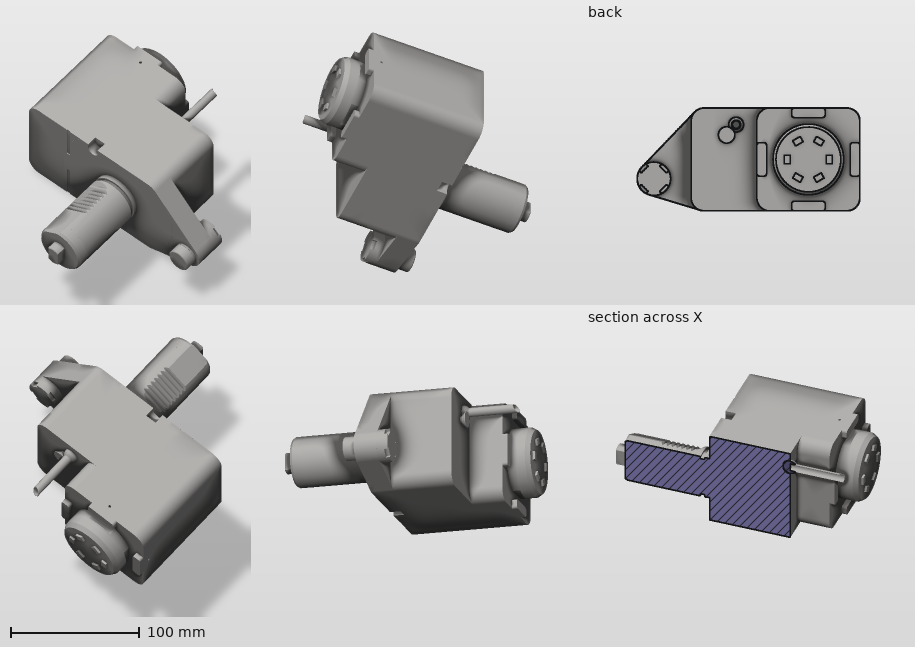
import cadquery as cq
import math


HALF_HEIGHT = 40.0
LEFT_X = -90.0
RIGHT_X = 41.0
CORNER_R = 10.0
LOW_BACK_Y = 67.0
TOWER_RIGHT_X = -10.0
TOWER_BACK_Y = 93.5

CONTACT_D = 110.0
CONTACT_RAISE = 0.1
SPINDLE_X = -50.0
KEY_GROOVE_W = 3.0
KEY_GROOVE_DEPTH = 0.5
KEY_GROOVE_INNER_Z = 10.0
EDGE_RECESS_W = 9.5
EDGE_RECESS_X = -25.0
EDGE_RECESS_DEPTH = 8.5
EDGE_RECESS_FLOOR_Z = 31.0
SMALL_HOLE_D = 2.2
SMALL_HOLE_DEPTH = 3.0
SMALL_HOLE_Y = 87.0

LUG_X = 70.0
LUG_Z = -15.0
LUG_R = 13.0
LUG_THICKNESS = 18.0
SCREW_SHAFT_D = 19.0
SCREW_END_D = 18.7
SCREW_STEP_Y = -1.5
SCREW_TIP_Y = -10.2
SCREW_TIP_CHAMFER = 0.6
SCREW_HEAD_D = 26.0
SCREW_HEAD_TOP_Y = 27.3
NOTCH_COUNT = 4
NOTCH_W = 7.5
NOTCH_DEPTH = 3.0
NOTCH_INNER_R = 10.1

TAB_LENGTH = 26.0
TAB_WIDTH = 7.5
TAB_HEIGHT = 4.2
TAB_CORNER_R = 2.0

NOSE_R = 27.5
NOSE_FACE_R = 25.2
NOSE_CHAMFER_Y = 108.0
NOSE_FACE_Y = 111.8
NOSE_FLAT_DISTANCE = 25.2
NOSE_FLAT_TOP_Y = 99.6
NOSE_FLAT_ANGLES = (90, 180, 270)
DOG_COUNT = 6
DOG_CIRCLE_R = 16.3
DOG_RADIAL = 4.6
DOG_TANGENTIAL = 6.7
DOG_TOP_Y = 113.61

SHANK_R = 20.0
SHANK_RELIEF_R = 19.8
SHANK_COLLAR_Y = -2.0
GROOVE_R = 18.0
GROOVE_START_Y = -4.0
GROOVE_END_Y = -7.3
SHANK_PILOT_Y = -60.3
SHANK_PILOT_R = 19.95
SHANK_END_Y = -70.0
SHANK_CHAMFER_LENGTH = 2.0
SHANK_CHAMFER_DEPTH = 1.4
TANG_R = 8.3
TANG_W = 10.0
TANG_END_Y = -78.0
TANG_CHAMFER = 0.5

SERRATION_TILT = 30.0
FLAT_DISTANCE = 17.4
TOOTH_PITCH = 4.0
TOOTH_DEPTH = 2.0
TOOTH_COUNT = 7
FIRST_VALLEY_Y = -16.0
FLAT_START_Y = -12.2
RUNOUT_Y = -9.0

NOZZLE_X = 6.1
NOZZLE_Z = 27.0
BALL_D = 11.57
TUBE_D = 7.0
BORE_D = 6.0
TUBE_END_Y = 111.0
TUBE_BEVEL_SLOPE_X = 0.43
TUBE_BEVEL_SLOPE_Z = 0.45
CSK_X = 13.5
CSK_Z = 19.0
CSK_NECK_R = 3.0
CSK_HEAD_R = 12.73 / 2
CSK_NECK_LENGTH = 1.0
CSK_RIM = 0.4


def cylinder(x, z, radius, y_start, y_end):
    """Cylinder along Y between two Y positions."""
    return cq.Workplane(
        cq.Solid.makeCylinder(
            radius, y_end - y_start, cq.Vector(x, y_start, z), cq.Vector(0, 1, 0)
        )
    )


def block(x_range, y_range, z_range):
    """Box spanning the given ranges along the three axes."""
    sizes = [high - low for low, high in (x_range, y_range, z_range)]
    corner = (x_range[0], y_range[0], z_range[0])
    return cq.Workplane("XY").box(*sizes, centered=False).translate(corner)


def turned(profile):
    """Revolve a closed (radius, y) profile about the Y axis."""
    return cq.Workplane("XY").polyline(profile).close().revolve(360, (0, 0, 0), (0, 1, 0))


def about_y(shape, angle, x=0.0, z=0.0):
    """Turn a shape about a Y-parallel axis, counting from +X towards +Z."""
    return shape.rotate((x, 0, z), (x, 1, z), -angle)


def rounded_block(right_x, back_y):
    width = right_x - LEFT_X
    return (
        block((LEFT_X, right_x), (0, back_y), (-HALF_HEIGHT, HALF_HEIGHT))
        .edges("|Y")
        .fillet(CORNER_R)
    )


def outer_tangent(x1, z1, r1, x2, z2, r2, side):
    """Touching points of the common tangent that lies on the given side (+1 above, -1 below)."""
    distance = math.hypot(x2 - x1, z2 - z1)
    heading = math.atan2(z2 - z1, x2 - x1)
    normal = heading + side * math.acos((r1 - r2) / distance)
    nx = math.cos(normal)
    nz = math.sin(normal)
    return (x1 + r1 * nx, z1 + r1 * nz), (x2 + r2 * nx, z2 + r2 * nz)


def clamping_lug():
    """Plate whose edges run from the block's two right corner rounds to the lug's round end."""
    corner_x = RIGHT_X - CORNER_R
    corner_z = HALF_HEIGHT - CORNER_R
    top_start, top_end = outer_tangent(corner_x, corner_z, CORNER_R, LUG_X, LUG_Z, LUG_R, 1)
    low_start, low_end = outer_tangent(corner_x, -corner_z, CORNER_R, LUG_X, LUG_Z, LUG_R, -1)
    return (
        cq.Workplane("XZ")
        .moveTo(corner_x, corner_z)
        .lineTo(*top_start)
        .lineTo(*top_end)
        .threePointArc((LUG_X + LUG_R, LUG_Z), low_end)
        .lineTo(*low_start)
        .lineTo(corner_x, -corner_z)
        .close()
        .extrude(-LUG_THICKNESS)
    )


def contact_face():
    """Thin raised disc, trimmed to the height of the block."""
    radius = CONTACT_D / 2
    disc = cylinder(0, 0, radius, -CONTACT_RAISE, 1)
    body = rounded_block(RIGHT_X, 1).union(clamping_lug()).translate((0, -CONTACT_RAISE, 0))
    return disc.intersect(body)


def tabs():
    """One tab at the middle of each edge of the tower's back."""
    y_range = (TOWER_BACK_Y - 1, TOWER_BACK_Y + TAB_HEIGHT)
    tab = block((HALF_HEIGHT - TAB_WIDTH, HALF_HEIGHT), y_range, (-TAB_LENGTH / 2, TAB_LENGTH / 2))
    tab = tab.edges("|Y").fillet(TAB_CORNER_R).translate((SPINDLE_X, 0, 0))
    ring = tab
    for angle in (90, 180, 270):
        ring = ring.union(about_y(tab, angle, SPINDLE_X))
    return ring


def spindle_nose():
    """Chamfered round nose with flats at its root and driving dogs on its face."""
    nose = turned(
        [
            (0, TOWER_BACK_Y),
            (NOSE_R, TOWER_BACK_Y),
            (NOSE_R, NOSE_CHAMFER_Y),
            (NOSE_FACE_R, NOSE_FACE_Y),
            (0, NOSE_FACE_Y),
        ]
    )
    flat = block(
        (NOSE_FLAT_DISTANCE, 2 * NOSE_R), (TOWER_BACK_Y, NOSE_FLAT_TOP_Y), (-NOSE_R, NOSE_R)
    )
    for angle in NOSE_FLAT_ANGLES:
        nose = nose.cut(about_y(flat, angle))
    half_radial = DOG_RADIAL / 2
    dog = block(
        (DOG_CIRCLE_R - half_radial, DOG_CIRCLE_R + half_radial),
        (NOSE_FACE_Y, DOG_TOP_Y),
        (-DOG_TANGENTIAL / 2, DOG_TANGENTIAL / 2),
    )
    for index in range(DOG_COUNT):
        nose = nose.union(about_y(dog, index * 360 / DOG_COUNT))
    return nose.translate((SPINDLE_X, 0, 0))


def serration_cutter():
    """Everything removed above the shank's flat: sloping run-out, V teeth and plain flat."""
    clear = 2 * SHANK_R
    slope = (RUNOUT_Y - FLAT_START_Y) / (SHANK_R - FLAT_DISTANCE)
    points = [
        (RUNOUT_Y + slope * (clear - SHANK_R), clear),
        (FLAT_START_Y, FLAT_DISTANCE),
    ]
    for index in range(TOOTH_COUNT):
        valley_y = FIRST_VALLEY_Y - index * TOOTH_PITCH
        points.append((valley_y + TOOTH_PITCH / 2, FLAT_DISTANCE))
        points.append((valley_y, FLAT_DISTANCE - TOOTH_DEPTH))
    last_valley_y = points[-1][0]
    points.append((last_valley_y - TOOTH_PITCH / 2, FLAT_DISTANCE))
    points.append((SHANK_END_Y, FLAT_DISTANCE))
    points.append((SHANK_END_Y, clear))
    cutter = cq.Workplane("YZ").polyline(points).close().extrude(SHANK_R, both=True)
    return about_y(cutter, SERRATION_TILT)


def shank():
    chamfer_y = SHANK_END_Y + SHANK_CHAMFER_LENGTH
    body = turned(
        [
            (0, 1),
            (SHANK_RELIEF_R, 1),
            (SHANK_RELIEF_R, SHANK_COLLAR_Y),
            (SHANK_R, SHANK_COLLAR_Y),
            (SHANK_R, GROOVE_START_Y),
            (GROOVE_R, GROOVE_START_Y),
            (GROOVE_R, GROOVE_END_Y),
            (SHANK_R, GROOVE_END_Y),
            (SHANK_R, SHANK_PILOT_Y),
            (SHANK_PILOT_R, SHANK_PILOT_Y),
            (SHANK_PILOT_R, chamfer_y),
            (SHANK_R - SHANK_CHAMFER_DEPTH, SHANK_END_Y),
            (0, SHANK_END_Y),
        ]
    )
    body = body.cut(serration_cutter())
    tang = cylinder(0, 0, TANG_R, TANG_END_Y, SHANK_END_Y).intersect(
        block((-TANG_W / 2, TANG_W / 2), (TANG_END_Y, SHANK_END_Y), (-TANG_R, TANG_R))
    )
    return body.union(tang.faces("<Y").chamfer(TANG_CHAMFER))


def key_grooves():
    """Two shallow grooves running from the top and bottom edges towards the middle."""
    x_range = (SPINDLE_X - KEY_GROOVE_W / 2, SPINDLE_X + KEY_GROOVE_W / 2)
    y_range = (-CONTACT_RAISE, KEY_GROOVE_DEPTH)
    upper = block(x_range, y_range, (KEY_GROOVE_INNER_Z, HALF_HEIGHT))
    return upper.union(upper.mirror("XY"))


def edge_recesses():
    """Round-ended recesses in the top and bottom edges of the mounting face."""
    radius = EDGE_RECESS_W / 2
    centre_z = EDGE_RECESS_FLOOR_Z + radius
    y_range = (-1, EDGE_RECESS_DEPTH)
    x_range = (EDGE_RECESS_X - radius, EDGE_RECESS_X + radius)
    upper = cylinder(EDGE_RECESS_X, centre_z, radius, *y_range)
    upper = upper.union(block(x_range, y_range, (centre_z, HALF_HEIGHT + 1)))
    return upper.union(upper.mirror("XY"))


def small_holes():
    """Blind holes in the tower's top and left side."""
    radius = SMALL_HOLE_D / 2
    top = cq.Solid.makeCylinder(
        radius, SMALL_HOLE_DEPTH, cq.Vector(SPINDLE_X, SMALL_HOLE_Y, HALF_HEIGHT), cq.Vector(0, 0, -1)
    )
    side = cq.Solid.makeCylinder(
        radius, SMALL_HOLE_DEPTH, cq.Vector(LEFT_X, SMALL_HOLE_Y, 0), cq.Vector(1, 0, 0)
    )
    return cq.Workplane(top).union(cq.Workplane(side))


def countersunk_screw():
    """Screw whose conical head stands clear of the low back face."""
    head_y = LOW_BACK_Y + CSK_NECK_LENGTH
    rim_y = head_y + CSK_HEAD_R - CSK_NECK_R
    profile = [
        (0, LOW_BACK_Y - 1),
        (CSK_NECK_R, LOW_BACK_Y - 1),
        (CSK_NECK_R, head_y),
        (CSK_HEAD_R, rim_y),
        (CSK_HEAD_R, rim_y + CSK_RIM),
        (0, rim_y + CSK_RIM),
    ]
    return turned(profile).translate((CSK_X, 0, CSK_Z))


def nozzle_ball():
    return cq.Workplane("XY").sphere(BALL_D / 2).translate((NOZZLE_X, LOW_BACK_Y, NOZZLE_Z))


def make_housing():
    body = rounded_block(RIGHT_X, LOW_BACK_Y)
    body = body.union(rounded_block(TOWER_RIGHT_X, TOWER_BACK_Y))
    body = body.union(clamping_lug())
    body = body.union(contact_face())
    body = body.union(tabs())
    body = body.union(spindle_nose())
    body = body.union(shank())
    body = body.union(countersunk_screw())
    body = body.cut(key_grooves())
    body = body.cut(edge_recesses())
    body = body.cut(small_holes())
    body = body.cut(nozzle_ball())
    return body.cut(cylinder(LUG_X, LUG_Z, SCREW_SHAFT_D / 2, -1, LUG_THICKNESS))


def make_clamp_screw():
    """Lug screw with notches around its head."""
    shaft_r = SCREW_SHAFT_D / 2
    end_r = SCREW_END_D / 2
    head_r = SCREW_HEAD_D / 2
    screw = turned(
        [
            (0, SCREW_TIP_Y),
            (end_r - SCREW_TIP_CHAMFER, SCREW_TIP_Y),
            (end_r, SCREW_TIP_Y + SCREW_TIP_CHAMFER),
            (end_r, SCREW_STEP_Y),
            (shaft_r, SCREW_STEP_Y),
            (shaft_r, LUG_THICKNESS),
            (head_r, LUG_THICKNESS),
            (head_r, SCREW_HEAD_TOP_Y),
            (0, SCREW_HEAD_TOP_Y),
        ]
    )
    notch = block(
        (NOTCH_INNER_R, 2 * head_r),
        (SCREW_HEAD_TOP_Y - NOTCH_DEPTH, SCREW_HEAD_TOP_Y),
        (-NOTCH_W / 2, NOTCH_W / 2),
    )
    spacing = 360 / NOTCH_COUNT
    for index in range(NOTCH_COUNT):
        screw = screw.cut(about_y(notch, (index + 0.5) * spacing))
    return screw.translate((LUG_X, 0, LUG_Z))


def make_coolant_nozzle():
    """Ball with a straight bored tube whose end is cut obliquely towards +X and +Z."""
    radius = TUBE_D / 2
    tube = cylinder(NOZZLE_X, NOZZLE_Z, radius, LOW_BACK_Y, TUBE_END_Y)
    bevel_plane = cq.Plane(
        origin=(NOZZLE_X - radius, TUBE_END_Y, NOZZLE_Z),
        normal=(TUBE_BEVEL_SLOPE_X, 1, TUBE_BEVEL_SLOPE_Z),
    )
    bevel = cq.Workplane(bevel_plane).circle(3 * TUBE_D).extrude(TUBE_D)
    bore = cylinder(NOZZLE_X, NOZZLE_Z, BORE_D / 2, LOW_BACK_Y, TUBE_END_Y)
    return nozzle_ball().union(tube.cut(bevel)).cut(bore)


housing = make_housing()
clamp_screw = make_clamp_screw()
coolant_nozzle = make_coolant_nozzle()

bodies = (housing, clamp_screw, coolant_nozzle)
result = cq.Compound.makeCompound([body.solids().val() for body in bodies])